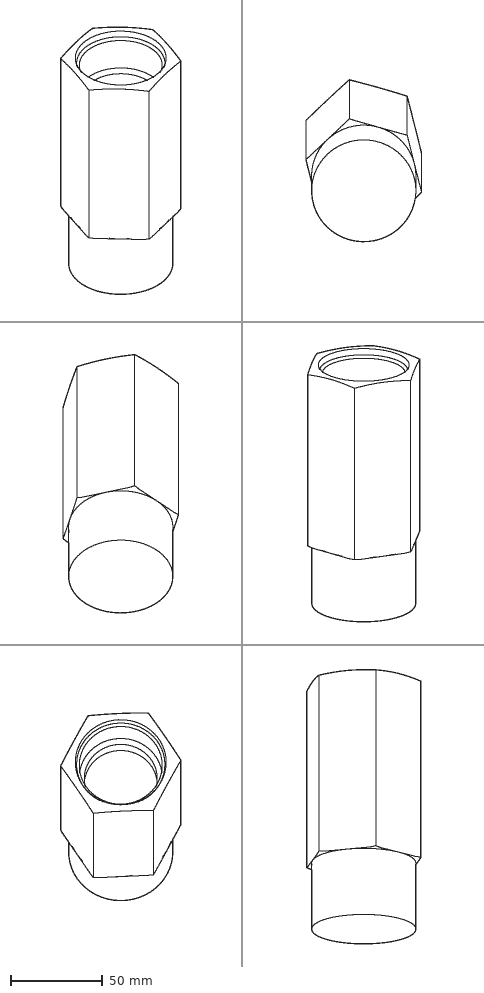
import cadquery as cq
import math

total_height = 139.6
across_flats = 57.1
shank_diameter = 57.1
shank_height = 37.7

chamfer_angle = 15.0
top_chamfer_diameter = across_flats
bottom_chamfer_diameter = 62.8

mouth_diameter = 49.7
mouth_floor_diameter = 48.3
mouth_depth = 3.3
socket_diameter = 45.4
socket_depth = 23.5
bore_diameter = 39.9
bore_depth = 34.9
mouth_seat_angle = 45.0
bore_seat_angle = 35.0

hexagon_sides = 6
half_side_angle = 180 / hexagon_sides
across_corners = across_flats / math.cos(math.radians(half_side_angle))
hexagon_height = total_height - shank_height


def cone_drop(large_diameter, small_diameter, angle):
    """Height over which a cone of the given slope joins two diameters."""
    return (large_diameter - small_diameter) / 2 * math.tan(math.radians(angle))


def revolve_profile(points):
    """Solid of revolution about Z from (radius, z) points."""
    return cq.Workplane("XZ").polyline(points).close().revolve(360, (0, 0), (0, 1))


def hexagon_body():
    """Hexagonal prism with corners on the Y axis, chamfered at both ends."""
    prism = (
        cq.Workplane("XY", origin=(0, 0, shank_height))
        .polygon(hexagon_sides, across_corners)
        .extrude(hexagon_height)
        .rotate((0, 0, 0), (0, 0, 1), half_side_angle)
    )
    corner_radius = across_corners / 2
    top_drop = cone_drop(across_corners, top_chamfer_diameter, chamfer_angle)
    bottom_rise = cone_drop(across_corners, bottom_chamfer_diameter, chamfer_angle)
    envelope = revolve_profile([
        (0, shank_height),
        (bottom_chamfer_diameter / 2, shank_height),
        (corner_radius, shank_height + bottom_rise),
        (corner_radius, total_height - top_drop),
        (top_chamfer_diameter / 2, total_height),
        (0, total_height),
    ])
    return prism.intersect(envelope)


def shank():
    """Plain cylinder below the hexagon."""
    return cq.Workplane("XY").circle(shank_diameter / 2).extrude(shank_height)


def stepped_bore():
    """Tapered mouth, socket and narrower bore, joined by conical seats."""
    mouth_z = total_height - mouth_depth
    socket_top_z = mouth_z - cone_drop(mouth_floor_diameter, socket_diameter, mouth_seat_angle)
    socket_z = total_height - socket_depth
    bore_top_z = socket_z - cone_drop(socket_diameter, bore_diameter, bore_seat_angle)
    floor_z = total_height - bore_depth
    return revolve_profile([
        (0, total_height),
        (mouth_diameter / 2, total_height),
        (mouth_floor_diameter / 2, mouth_z),
        (socket_diameter / 2, socket_top_z),
        (socket_diameter / 2, socket_z),
        (bore_diameter / 2, bore_top_z),
        (bore_diameter / 2, floor_z),
        (0, floor_z),
    ])


result = hexagon_body().union(shank()).cut(stepped_bore())